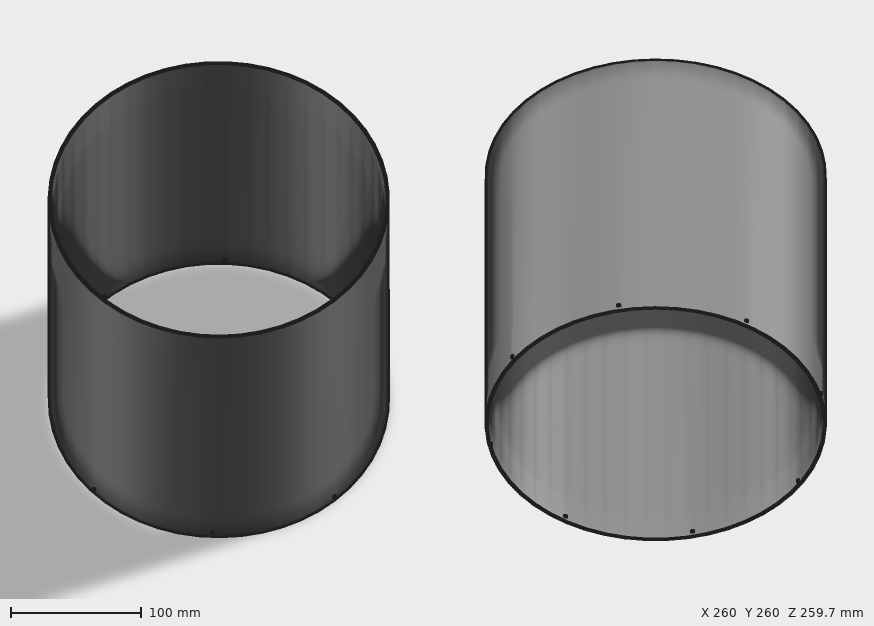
import cadquery as cq

outer_diameter = 260.0
inner_diameter = 257.0
height = 259.7

hole_diameter = 2.45
hole_count = 8
hole_height = 5.0


def tube():
    profile = cq.Workplane("XY").circle(outer_diameter / 2).circle(inner_diameter / 2)
    return profile.extrude(height)


def radial_hole(angle):
    """Cutter running from the tube axis outward through the wall."""
    cutter = (
        cq.Workplane("YZ")
        .center(0, hole_height)
        .circle(hole_diameter / 2)
        .extrude(outer_diameter)
    )
    return cutter.rotate((0, 0, 0), (0, 0, 1), angle)


result = tube()
for index in range(hole_count):
    result = result.cut(radial_hole(index * 360 / hole_count))